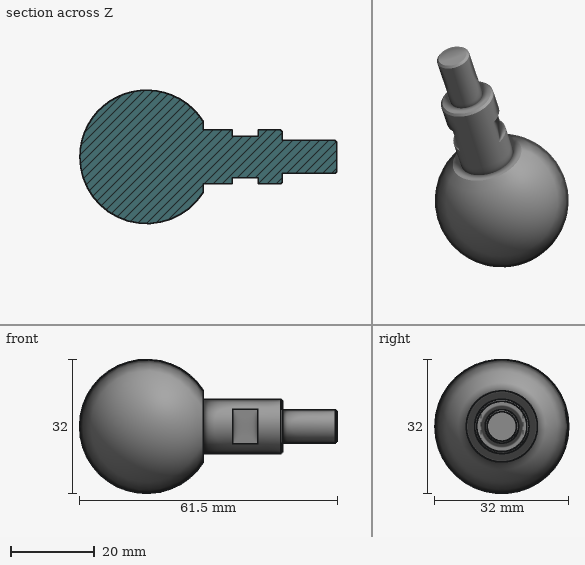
import cadquery as cq
import math

overall_length = 61.5

ball_diameter = 32.0
ball_flat_diameter = 17.0

shank_diameter = 13.0
shank_chamfer = 0.5
pin_diameter = 8.0
pin_length = 13.0
pin_chamfer = 0.5

wrench_size = 10.0
wrench_flat_width = 6.0
wrench_flat_offset = 7.0

ball_radius = ball_diameter / 2
ball_flat_radius = ball_flat_diameter / 2
ball_flat_x = math.sqrt(ball_radius**2 - ball_flat_radius**2)
pin_end_x = overall_length - ball_radius
shank_end_x = pin_end_x - pin_length
shank_length = shank_end_x - ball_flat_x


def make_ball():
    """Sphere cut off by a flat on its +X side, turned about the X axis."""
    return (
        cq.Workplane("XY")
        .moveTo(-ball_radius, 0)
        .threePointArc((0, ball_radius), (ball_flat_x, ball_flat_radius))
        .lineTo(ball_flat_x, 0)
        .close()
        .revolve(360, (0, 0, 0), (1, 0, 0))
    )


def make_rod(start_x, diameter, length, chamfer):
    """Cylinder along +X with a chamfered far end."""
    return (
        cq.Workplane("YZ", origin=(start_x, 0, 0))
        .circle(diameter / 2)
        .extrude(length)
        .faces(">X")
        .chamfer(chamfer)
    )


def make_wrench_cutter(side):
    """Block that leaves a flat on one side of the shank (side is -1 or +1 along Y)."""
    cutter_depth = shank_diameter / 2
    center_x = ball_flat_x + wrench_flat_offset + wrench_flat_width / 2
    center_y = side * (wrench_size + cutter_depth) / 2
    return (
        cq.Workplane("XY")
        .box(wrench_flat_width, cutter_depth, shank_diameter)
        .translate((center_x, center_y, 0))
    )


shank = make_rod(ball_flat_x, shank_diameter, shank_length, shank_chamfer)
for side in (-1, 1):
    shank = shank.cut(make_wrench_cutter(side))

pin = make_rod(shank_end_x, pin_diameter, pin_length, pin_chamfer)

result = make_ball().union(shank).union(pin)